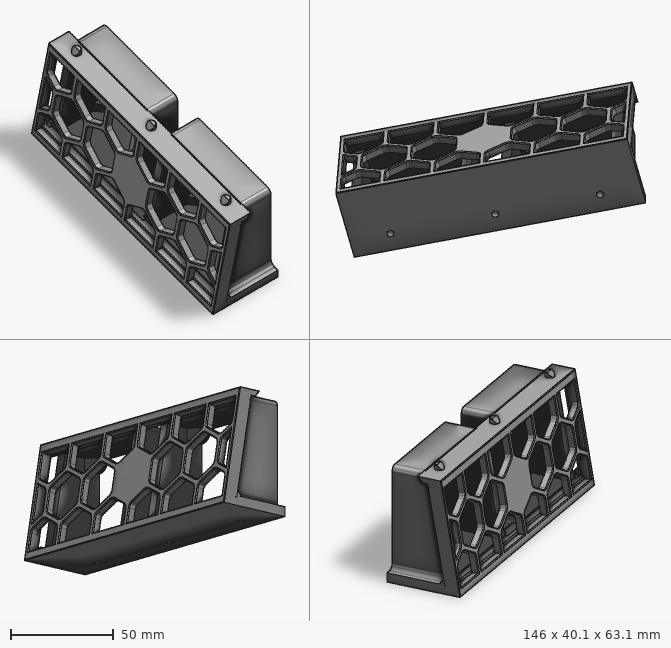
import cadquery as cq
import math

WIDTH = 145.97
DEPTH = 40.11
HEIGHT = 63.08
PEG_HEIGHT = 2.7
TILT = 10.0
EDGE_CHAMFER = 0.4
BASE_THICKNESS = 5.0

DUCT_OPENING = 50.0
DUCT_WALL = 5.0
DUCT_OFFSET = 37.5
DUCT_FILLET = 3.0
BOSS_RADIUS = 6.2
BOSS_LENGTH = 3.7

FRAME_DEPTH = 7.8
GRID_DEPTH = 4.0
FLARE_DEPTH = 5.4
FLANGE_BACK = 16.8
FLANGE_THICKNESS = 3.0
FLANGE_BEVEL = 2.7

LIP_BACK = 28.7
LIP_FLAT = 1.2
LIP_HEIGHT = 0.4
LIP_FOOT_DROP = 0.4
LIP_FOOT_DEPTH = 6.4

CELL_PITCH = 25.0
RIB = 2.9
CELL_FILLET = 3.0
CELL_CHAMFER = 0.5
GRID_CENTER = 29.65
WINDOW_HALF_WIDTH = 70.45
WINDOW_BOTTOM = 4.25
WINDOW_TOP = 56.75
SILL_STEP = 1.5
HEAD_STEP = 0.8

PEG_DIAMETER = 5.0
PEG_CHAMFER = 0.4
PEG_SPACING = 60.0
PEG_BACK = 22.1
PEG_FLAT = 0.3

HOLE_DIAMETER = 3.6
HOLE_BACK = 10.1
HOLE_SPACING = 52.5

LEAN = math.tan(math.radians(TILT))
FRAME_TOP = HEIGHT - PEG_HEIGHT
FACE_FOOT = DEPTH + EDGE_CHAMFER * math.sin(math.radians(TILT))
DUCT_HALF = DUCT_OPENING / 2 + DUCT_WALL
DUCT_FLOOR = BASE_THICKNESS
DUCT_CEILING = DUCT_FLOOR + DUCT_OPENING
DUCT_TOP = DUCT_CEILING + DUCT_WALL
ROW_PITCH = CELL_PITCH * math.sqrt(3) / 2

FACE = cq.Plane(
    origin=(0, -FACE_FOOT, 0),
    xDir=(1, 0, 0),
    normal=(0, -math.cos(math.radians(TILT)), math.sin(math.radians(TILT))),
)
FRONT_FACE = cq.selectors.DirectionMinMaxSelector(FACE.zDir, True)


def tilted_y(depth, z):
    """Y at height z of the plane that lies `depth` behind the front face."""
    return -FACE_FOOT + depth / math.cos(math.radians(TILT)) + z * LEAN


def along_width(points, width=WIDTH):
    """Prism across X from an outline in (Y, Z)."""
    return cq.Workplane("YZ").polyline(points).close().extrude(width / 2, both=True)


def face_block(half_width, bottom, top, near, far):
    """Block square to the face, between the depths `near` and `far`."""
    return (
        cq.Workplane(FACE)
        .workplane(offset=-far)
        .center(0, (bottom + top) / 2)
        .rect(2 * half_width, top - bottom)
        .extrude(far - near)
    )


def make_frame():
    """Tilted front frame with the top flange, opened behind the grille."""
    underside = FRAME_TOP - FLANGE_THICKNESS
    outline = [
        (tilted_y(0, 0), 0),
        (tilted_y(0, FRAME_TOP), FRAME_TOP),
        (-FLANGE_BACK, FRAME_TOP),
        (-FLANGE_BACK - FLANGE_BEVEL, underside),
        (tilted_y(FRAME_DEPTH, underside), underside),
        (tilted_y(FRAME_DEPTH, 0), 0),
    ]
    frame = along_width(outline)
    frame = frame.faces(FRONT_FACE).chamfer(EDGE_CHAMFER)
    return frame.cut(make_pocket())


def make_pocket():
    """Cutter for the opening behind the grille; its side walls thin out at 45 degrees."""
    half_width = WINDOW_HALF_WIDTH
    flare = FRAME_DEPTH - FLARE_DEPTH
    plan = (
        cq.Workplane(FACE)
        .transformed(rotate=(90, 0, 0))
        .polyline(
            [
                (-half_width, -GRID_DEPTH),
                (half_width, -GRID_DEPTH),
                (half_width, -FLARE_DEPTH),
                (half_width + flare, -FRAME_DEPTH),
                (-half_width - flare, -FRAME_DEPTH),
                (-half_width, -FLARE_DEPTH),
            ]
        )
        .close()
        .extrude(HEIGHT, both=True)
    )
    return plan.intersect(
        face_block(
            WIDTH,
            WINDOW_BOTTOM + SILL_STEP,
            WINDOW_TOP + HEAD_STEP,
            GRID_DEPTH,
            FRAME_DEPTH,
        )
    )


def make_base():
    """Base plate from the back of the part to the back of the frame."""
    return along_width(
        [
            (0, 0),
            (tilted_y(FRAME_DEPTH, 0), 0),
            (tilted_y(FRAME_DEPTH, DUCT_FLOOR), DUCT_FLOOR),
            (0, DUCT_FLOOR),
        ]
    )


def make_lip():
    """Low rounded lip along the front of the base, interrupted by the ducts."""
    top = DUCT_FLOOR + LIP_HEIGHT
    foot = DUCT_FLOOR - LIP_FOOT_DROP
    foot_y = tilted_y(LIP_FOOT_DEPTH, foot)
    crest_y = -LIP_BACK - LIP_FLAT
    lip = (
        cq.Workplane("YZ")
        .moveTo(foot_y, 0)
        .lineTo(-LIP_BACK, 0)
        .lineTo(-LIP_BACK, top)
        .lineTo(crest_y, top)
        .tangentArcPoint((foot_y, foot), relative=False)
        .close()
        .extrude(WINDOW_HALF_WIDTH, both=True)
    )
    duct_gaps = (
        cq.Workplane("XY")
        .pushPoints([(side * DUCT_OFFSET, 0) for side in (-1, 1)])
        .rect(2 * DUCT_HALF, 2 * DEPTH)
        .extrude(DUCT_TOP)
    )
    return lip.cut(duct_gaps)


def make_foot_gussets():
    """Gussets behind the two outer feet of the frame, as tall as the duct fillets."""
    top = DUCT_FLOOR + DUCT_FILLET
    gussets = along_width(
        [
            (tilted_y(FRAME_DEPTH, top), top),
            (tilted_y(FRAME_DEPTH, 0), 0),
            (-LIP_BACK, 0),
            (-LIP_BACK, DUCT_FLOOR),
        ]
    )
    return gussets.cut(cq.Workplane("XY").box(2 * WINDOW_HALF_WIDTH, 2 * DEPTH, 2 * HEIGHT))


def make_duct(center_x):
    """Tube with rounded top edges and flared feet, its front end cut parallel to the face."""
    half = DUCT_HALF
    r = DUCT_FILLET
    outer = (
        cq.Workplane("XZ")
        .moveTo(-half - r, 0)
        .lineTo(-half - r, DUCT_FLOOR)
        .radiusArc((-half, DUCT_FLOOR + r), -r)
        .lineTo(-half, DUCT_TOP - r)
        .radiusArc((-half + r, DUCT_TOP), r)
        .lineTo(half - r, DUCT_TOP)
        .radiusArc((half, DUCT_TOP - r), r)
        .lineTo(half, DUCT_FLOOR + r)
        .radiusArc((half + r, DUCT_FLOOR), -r)
        .lineTo(half + r, 0)
        .close()
        .extrude(DEPTH)
    )
    opening = (
        cq.Workplane("XZ")
        .center(0, DUCT_FLOOR + DUCT_OPENING / 2)
        .rect(DUCT_OPENING, DUCT_OPENING)
        .extrude(DEPTH)
    )
    envelope = along_width(
        [
            (0, 0),
            (tilted_y(FRAME_DEPTH, 0), 0),
            (tilted_y(FRAME_DEPTH, DUCT_TOP), DUCT_TOP),
            (0, DUCT_TOP),
        ]
    )
    duct = outer.intersect(envelope).cut(opening).union(make_bosses().intersect(opening))
    return duct.translate((center_x, 0, 0))


def make_bosses():
    """Quarter-round bosses in the back corners of a duct, with ends that slope toward the walls."""
    wall = DUCT_OPENING / 2
    tip = BOSS_LENGTH + BOSS_RADIUS
    bosses = (
        cq.Workplane("XZ")
        .pushPoints([(x, z) for x in (-wall, wall) for z in (DUCT_FLOOR, DUCT_CEILING)])
        .circle(BOSS_RADIUS)
        .extrude(tip)
    )
    slope = (
        cq.Workplane("XY")
        .polyline(
            [
                (-wall, 0),
                (-wall, -tip),
                (-wall + BOSS_RADIUS, -BOSS_LENGTH),
                (wall - BOSS_RADIUS, -BOSS_LENGTH),
                (wall, -tip),
                (wall, 0),
            ]
        )
        .close()
        .extrude(DUCT_TOP)
    )
    return bosses.intersect(slope)


def make_cell(x, row):
    """Cutter for one honeycomb cell with rounded corners, trimmed to the window."""
    half_flat = (CELL_PITCH - RIB) / 2
    corner = half_flat / math.cos(math.radians(30))
    if row == 0:
        far_end = [(half_flat, corner / 2), (0, corner), (-half_flat, corner / 2)]
    else:
        far_end = [(half_flat, row * corner), (-half_flat, row * corner)]
    toward = row if row != 0 else 1
    near_end = [
        (-half_flat, -toward * corner / 2),
        (0, -toward * corner),
        (half_flat, -toward * corner / 2),
    ]
    cell = (
        cq.Workplane(FACE)
        .workplane(offset=-GRID_DEPTH)
        .center(x, GRID_CENTER + row * ROW_PITCH)
        .polyline(far_end + near_end)
        .close()
        .extrude(GRID_DEPTH)
    )
    if row != 0:
        cell = cell.intersect(face_block(WINDOW_HALF_WIDTH, -HEIGHT, 2 * HEIGHT, 0, GRID_DEPTH))
    cell = cell.edges(cq.selectors.ParallelDirSelector(FACE.zDir)).fillet(CELL_FILLET)
    return cell.intersect(face_block(WINDOW_HALF_WIDTH, WINDOW_BOTTOM, WINDOW_TOP, 0, GRID_DEPTH))


def cut_grille(frame):
    """Cut all cells but the solid middle one and chamfer their rims on the front face."""
    for column in (-3, -2, -1, 1, 2, 3):
        frame = frame.cut(make_cell(column * CELL_PITCH, 0))
    for row in (-1, 1):
        for column in range(-3, 3):
            frame = frame.cut(make_cell((column + 0.5) * CELL_PITCH, row))
    front = frame.faces(FRONT_FACE).val()
    rims = [edge for wire in front.innerWires() for edge in wire.Edges()]
    return frame.newObject(rims).chamfer(CELL_CHAMFER)


def make_peg(x):
    """Round peg on the flange, bevelled at 45 degrees toward the front."""
    peg = (
        cq.Workplane("XY", origin=(x, -PEG_BACK, FRAME_TOP))
        .circle(PEG_DIAMETER / 2)
        .extrude(PEG_HEIGHT)
        .faces(">Z")
        .chamfer(PEG_CHAMFER)
    )
    flat_end = -PEG_BACK + PEG_FLAT
    back = -PEG_BACK + PEG_DIAMETER
    envelope = along_width(
        [
            (back, FRAME_TOP),
            (flat_end - PEG_HEIGHT, FRAME_TOP),
            (flat_end, HEIGHT),
            (back, HEIGHT),
        ]
    )
    return peg.intersect(envelope)


result = cut_grille(make_frame()).union(make_base()).union(make_lip()).union(make_foot_gussets())
for side in (-1, 1):
    result = result.union(make_duct(side * DUCT_OFFSET))
for peg_index in (-1, 0, 1):
    result = result.union(make_peg(peg_index * PEG_SPACING))
mount_holes = (
    cq.Workplane("XY")
    .pushPoints([(index * HOLE_SPACING, -HOLE_BACK) for index in (-1, 0, 1)])
    .circle(HOLE_DIAMETER / 2)
    .extrude(BASE_THICKNESS)
)
result = result.cut(mount_holes)